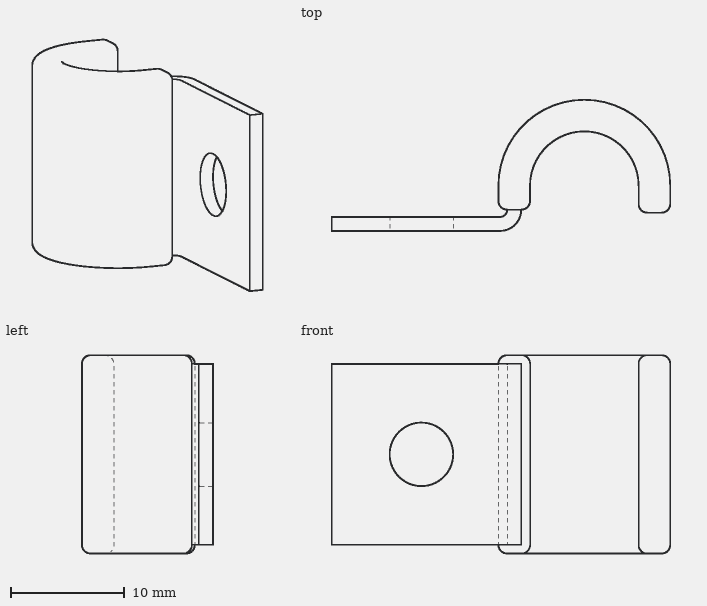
import cadquery as cq

total_length = 29.77
total_depth = 11.55
strap_thickness = 1.25
strap_width = 15.9
bend_inner_radius = 0.63
hole_diameter = 5.57
hole_from_end = 7.9

cushion_wall = 0.77
outer_radius = 7.55
near_leg_end = 1.88
far_leg_end = 1.6

cushion_thickness = strap_thickness + 2 * cushion_wall
cushion_width = strap_width + 2 * cushion_wall
inner_radius = outer_radius - cushion_thickness
arc_x = total_length - outer_radius
arc_y = total_depth - outer_radius
bend_outer_radius = bend_inner_radius + strap_thickness
strap_outer_x = arc_x - outer_radius + cushion_wall
strap_inner_x = strap_outer_x + strap_thickness
bend_x = strap_outer_x - bend_inner_radius


def make_cushion():
    """U-shaped cushion with every outer edge rounded by the wall thickness."""
    body = (
        cq.Workplane("XY")
        .moveTo(arc_x - outer_radius, near_leg_end)
        .lineTo(arc_x - outer_radius, arc_y)
        .threePointArc((arc_x, arc_y + outer_radius), (arc_x + outer_radius, arc_y))
        .lineTo(arc_x + outer_radius, far_leg_end)
        .lineTo(arc_x + inner_radius, far_leg_end)
        .lineTo(arc_x + inner_radius, arc_y)
        .threePointArc((arc_x, arc_y + inner_radius), (arc_x - inner_radius, arc_y))
        .lineTo(arc_x - inner_radius, near_leg_end)
        .close()
        .extrude(cushion_width / 2, both=True)
    )
    rim_and_leg_ends = body.faces("|Z or |Y").edges()
    return rim_and_leg_ends.fillet(cushion_wall)


def make_strap():
    """Flat mounting tab with a bend that turns up into the cushion."""
    bend_center_y = bend_outer_radius
    tab = cq.Workplane("XY").box(
        bend_x, strap_thickness, strap_width, centered=(False, False, True)
    )
    bend = (
        cq.Workplane("XY")
        .moveTo(bend_x, 0)
        .radiusArc((strap_inner_x, bend_center_y), -bend_outer_radius)
        .lineTo(strap_inner_x, arc_y)
        .lineTo(strap_outer_x, arc_y)
        .lineTo(strap_outer_x, bend_center_y)
        .radiusArc((bend_x, strap_thickness), bend_inner_radius)
        .close()
        .extrude(strap_width / 2, both=True)
    )
    return tab.union(bend)


def make_hole():
    """Screw hole through the tab."""
    return (
        cq.Workplane("XZ")
        .center(hole_from_end, 0)
        .circle(hole_diameter / 2)
        .extrude(-strap_thickness)
    )


result = make_cushion().union(make_strap()).cut(make_hole())